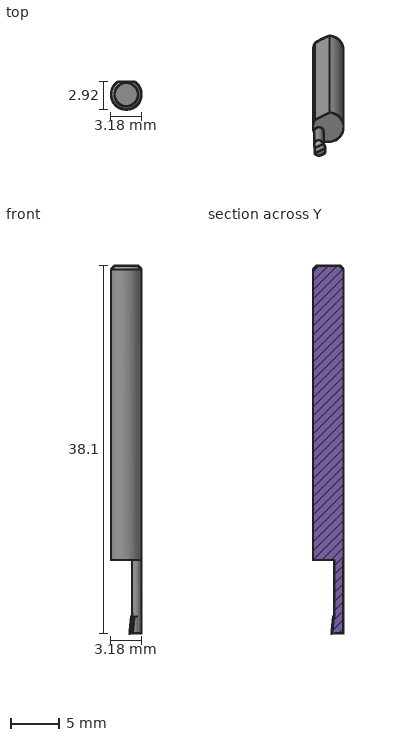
import cadquery as cq
import math


total_length = 38.1
shank_diameter = 3.175
shank_length = 30.48
flat_height = 1.335
top_chamfer = 0.38

neck_diameter = 1.0
rake_slope_angle = 45
rake_face_height = 2.1

head_height = 1.78
tip_x = 0.31
head_top_x = 0.49
primary_relief_depth = 0.36
primary_relief = 0.20
side_relief = 0.37
end_relief_angle = 6
end_dish_angle = 2

shank_radius = shank_diameter / 2
neck_radius = neck_diameter / 2
neck_x = shank_radius - neck_radius
shank_bottom = total_length - shank_length
margin = 1.0


def make_shank():
    """Round shank with a chamfered top and a flat along its +Y side."""
    shank = cq.Workplane("XY", origin=(0, 0, shank_bottom)).circle(shank_radius).extrude(shank_length)
    shank = shank.faces(">Z").chamfer(top_chamfer)
    flat_cut = cq.Workplane("XY", origin=(0, flat_height, shank_bottom)).box(
        shank_diameter, shank_diameter, shank_length, centered=(True, False, False)
    )
    return shank.cut(flat_cut)


def make_neck():
    """Eccentric round neck, ground down to a half round below a sloped run-out."""
    neck = cq.Workplane("XY").center(neck_x, 0).circle(neck_radius).extrude(shank_bottom)
    reach = neck_radius + margin
    slope_rise = reach * math.tan(math.radians(rake_slope_angle))
    rake_cut = (
        cq.Workplane("YZ")
        .polyline([
            (0, -margin),
            (reach, -margin),
            (reach, rake_face_height + slope_rise),
            (0, rake_face_height),
        ])
        .close()
        .extrude(shank_diameter)
    )
    return neck.cut(rake_cut)


def head_section(z, edge_x):
    """Closed section of the head from the cutting edge back to the neck axis."""
    return cq.Wire.makePolygon(
        [
            cq.Vector(edge_x, 0, z),
            cq.Vector(neck_x, 0, z),
            cq.Vector(neck_x, -neck_radius, z),
            cq.Vector(edge_x + side_relief, -neck_radius, z),
            cq.Vector(edge_x + primary_relief, -primary_relief_depth, z),
        ],
        close=True,
    )


def make_head():
    """Cutting head with a tapered cutting edge and two side relief faces."""
    sections = [head_section(0, tip_x), head_section(head_height, head_top_x)]
    return cq.Workplane(cq.Solid.makeLoft(sections, True))


def make_end_cut():
    """Block whose top is the end face, tilted up from the tip in both X and -Y."""
    size = shank_diameter + 2 * margin
    block = cq.Workplane("XY").box(size, size, size).translate((0, 0, -size / 2))
    block = block.rotate((0, 0, 0), (1, 0, 0), -end_relief_angle)
    block = block.rotate((0, 0, 0), (0, 1, 0), -end_dish_angle)
    return block.translate((tip_x, 0, 0))


tool_end = make_neck().union(make_head()).cut(make_end_cut())
result = make_shank().union(tool_end)